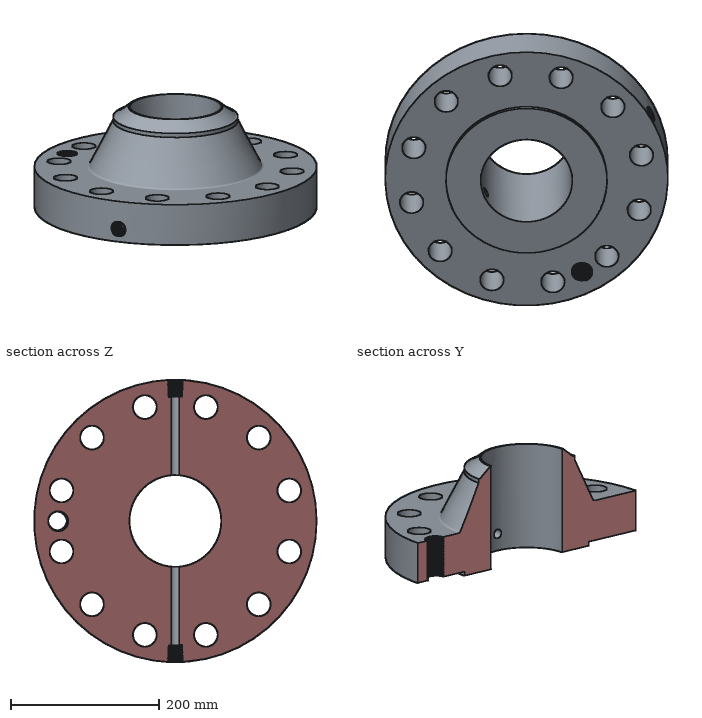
import cadquery as cq
import math

flange_radius = 190.5
total_height = 146.0

raised_face_radius = 108.5
raised_face_height = 5.7
flange_thickness = 56.8
flange_top = raised_face_height + flange_thickness

hub_base_radius = 117.0
hub_fillet_radius = 4.0
hub_cone_top = 126.5

weld_radius = 84.2
ledge_width = 2.5
ledge_fillet_radius = 2.0
bevel_base_radius = weld_radius - ledge_width
rim_radius = 63.5
bevel_angle = 37.5
bevel_height = (bevel_base_radius - rim_radius) * math.tan(math.radians(bevel_angle))
ledge_height = total_height - bevel_height

bore_radius = 61.7

bolt_count = 12
bolt_circle_radius = 159.0
bolt_hole_diameter = 31.5

jack_minor_diameter = 24.8
jack_major_diameter = 28.5
jack_pitch = 3.62

tap_height = 23.5
tap_major_diameter = 21.0
tap_thread_depth = 1.37
tap_pitch = 1.83
tap_length = 23.0
tap_hole_diameter = 12.5
tap_taper = 1 / 32
tap_taper_angle = math.degrees(math.atan(tap_taper))

thread_half_angle = 30.0
thread_root_flat = 1 / 8
overlap = 0.08


def fillet_circle(body, circle_radius, height, fillet_radius):
    """Round the circular edge that has the given radius and height."""
    def is_wanted(edge):
        same_radius = math.isclose(edge.radius(), circle_radius)
        same_height = math.isclose(edge.Center().z, height)
        return same_radius and same_height

    return body.edges("%CIRCLE").filter(is_wanted).fillet(fillet_radius)


def make_body():
    """Revolve the flange, hub and weld end, with the bore left open."""
    profile = [
        (bore_radius, 0),
        (raised_face_radius, 0),
        (raised_face_radius, raised_face_height),
        (flange_radius, raised_face_height),
        (flange_radius, flange_top),
        (hub_base_radius, flange_top),
        (weld_radius, hub_cone_top),
        (weld_radius, ledge_height),
        (bevel_base_radius, ledge_height),
        (rim_radius, total_height),
        (bore_radius, total_height),
    ]
    body = cq.Workplane("XZ").polyline(profile).close().revolve(360, (0, 0), (0, 1))
    body = fillet_circle(body, hub_base_radius, flange_top, hub_fillet_radius)
    return fillet_circle(body, bevel_base_radius, ledge_height, ledge_fillet_radius)


def make_bolt_holes():
    """Through holes straddling the X and Y axes."""
    half_step = 180 / bolt_count
    return (
        cq.Workplane("XY")
        .polarArray(bolt_circle_radius, half_step, 360, bolt_count)
        .circle(bolt_hole_diameter / 2)
        .extrude(total_height)
    )


def make_thread_groove(minor_radius, depth, pitch, length, taper_angle=0):
    """Helical groove along +Z from the origin, widening upward by the taper angle."""
    slope = math.tan(math.radians(thread_half_angle))
    root_half_width = pitch * thread_root_flat / 2
    mouth_half_width = root_half_width + (depth + overlap) * slope
    inner = minor_radius - overlap
    outer = minor_radius + depth
    if taper_angle:
        helix = cq.Wire.makeHelix(pitch, length, minor_radius, angle=taper_angle)
    else:
        helix = cq.Wire.makeHelix(pitch, length, minor_radius)
    return (
        cq.Workplane("XZ")
        .polyline([
            (inner, -mouth_half_width),
            (outer, -root_half_width),
            (outer, root_half_width),
            (inner, mouth_half_width),
        ])
        .close()
        .sweep(cq.Workplane(helix), isFrenet=True)
    )


def cut_jack_screw(body):
    """Threaded through hole on the bolt circle, on the -X side."""
    minor_radius = jack_minor_diameter / 2
    depth = (jack_major_diameter - jack_minor_diameter) / 2
    start = (-bolt_circle_radius, 0, raised_face_height - jack_pitch)
    turns = math.ceil(flange_thickness / jack_pitch) + 2
    length = turns * jack_pitch
    hole = cq.Workplane("XY").circle(minor_radius).extrude(length)
    groove = make_thread_groove(minor_radius, depth, jack_pitch, length)
    return body.cut(hole.union(groove).translate(start))


def cut_pressure_tap(body, turn):
    """Radial tapered tap; a turn of zero puts it on the -Y side."""
    length = tap_length + tap_pitch
    mouth_radius = tap_major_diameter / 2 - tap_thread_depth
    bottom_radius = mouth_radius - tap_length * tap_taper
    top_radius = bottom_radius + length * tap_taper
    tapered_hole = cq.Workplane(cq.Solid.makeCone(bottom_radius, top_radius, length))
    groove = make_thread_groove(bottom_radius, tap_thread_depth, tap_pitch, length, tap_taper_angle)
    tap_bottom = flange_radius - tap_length
    plain_hole = cq.Workplane("XY").circle(tap_hole_diameter / 2).extrude(tap_bottom)
    at_bottom = (0, 0, tap_bottom)
    for cutter in (plain_hole, tapered_hole.translate(at_bottom), groove.translate(at_bottom)):
        placed = cutter.rotate((0, 0, 0), (1, 0, 0), 90)
        placed = placed.rotate((0, 0, 0), (0, 0, 1), turn)
        body = body.cut(placed.translate((0, 0, tap_height)))
    return body


result = make_body().cut(make_bolt_holes())
result = cut_jack_screw(result)
for tap_turn in (0, 180):
    result = cut_pressure_tap(result, tap_turn)